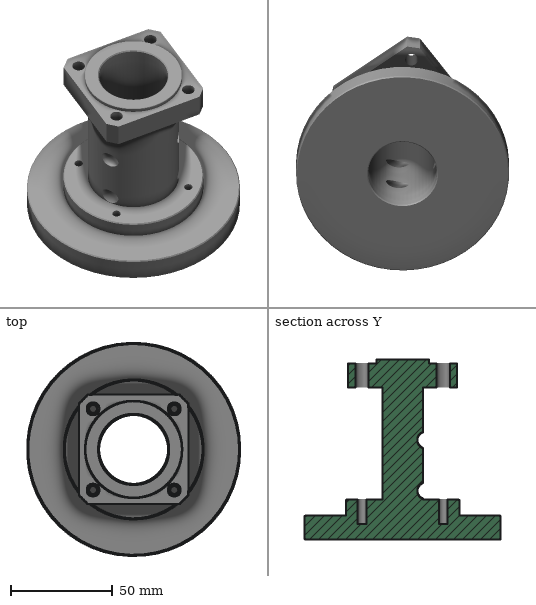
import cadquery as cq

disc_diameter = 105.0
disc_height = 12.0
step_diameter = 69.0
step_height = 8.0
edge_chamfer = 0.5

tube_diameter = 45.0
tube_length = 55.0
bore_diameter = 34.0
bore_chamfer = 0.5

flange_side = 54.0
flange_thickness = 12.1
flange_corner_chamfer = (flange_side - tube_diameter) / 2
spigot_diameter = 48.0
spigot_height = 2.0
spigot_chamfer = 0.2

bolt_spacing = 40.0
flange_hole_diameter = 6.2
step_hole_diameter = 4.1
step_hole_depth = 12.0

cross_hole_diameter = 8.0
cross_hole_x = 11.3
cross_hole_spacing = 25.0
cross_hole_floor_gap = 0.2

step_top = disc_height + step_height
flange_bottom = step_top + tube_length
flange_top = flange_bottom + flange_thickness
total_height = flange_top + spigot_height


def cylinder(diameter, bottom, height):
    """Upright cylinder on the main axis."""
    return cq.Workplane("XY").workplane(offset=bottom).circle(diameter / 2).extrude(height)


def bolt_holes(diameter, bottom, height):
    """Four upright cylinders on the square bolt pattern."""
    return (
        cq.Workplane("XY")
        .workplane(offset=bottom)
        .rect(bolt_spacing, bolt_spacing, forConstruction=True)
        .vertices()
        .circle(diameter / 2)
        .extrude(height)
    )


def cross_hole(height):
    """Cylinder parallel to Y, long enough to cross the whole tube."""
    return (
        cq.Workplane("XZ")
        .center(cross_hole_x, height)
        .circle(cross_hole_diameter / 2)
        .extrude(tube_diameter / 2, both=True)
    )


disc = cylinder(disc_diameter, 0, disc_height).faces("<Z or >Z").chamfer(edge_chamfer)
step = cylinder(step_diameter, disc_height, step_height).faces(">Z").chamfer(edge_chamfer)
tube = cylinder(tube_diameter, step_top, tube_length)
flange = (
    cq.Workplane("XY")
    .workplane(offset=flange_bottom)
    .rect(flange_side, flange_side)
    .extrude(flange_thickness)
    .edges("|Z")
    .chamfer(flange_corner_chamfer)
)
spigot = cylinder(spigot_diameter, flange_top, spigot_height).faces(">Z").chamfer(spigot_chamfer)
body = disc.union(step).union(tube).union(flange).union(spigot)

body = body.cut(cylinder(bore_diameter, 0, total_height))
body = body.edges(cq.selectors.RadiusNthSelector(0)).edges("<Z or >Z").chamfer(bore_chamfer)

body = body.cut(bolt_holes(flange_hole_diameter, flange_bottom, flange_thickness))
body = body.cut(bolt_holes(step_hole_diameter, step_top - step_hole_depth, step_hole_depth))

lower_cross_hole_z = step_top + cross_hole_floor_gap + cross_hole_diameter / 2
for hole_index in range(2):
    body = body.cut(cross_hole(lower_cross_hole_z + hole_index * cross_hole_spacing))

result = body